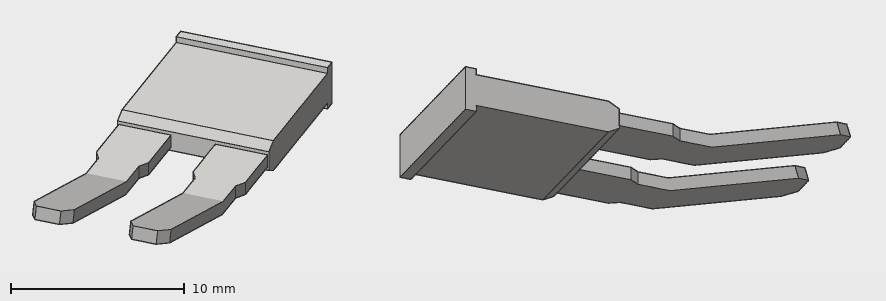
import cadquery as cq
import math

total_length = 24.58
total_height = 4.47

body_width = 9.4
body_length = 9.65
body_height = 2.0
flange_height = 2.75
flange_length = 0.7
nose_height = 1.25
nose_taper_length = 0.7

pin_pitch = 6.0
pin_thickness = 0.8
root_width = 3.25
blade_width = 2.5
tip_width = 1.52
tip_taper_length = 0.88
shoulder_start = 13.05
shoulder_end = 13.65
bend_angle = math.radians(17)
root_embed = 1.23

sin_bend = math.sin(bend_angle)
cos_bend = math.cos(bend_angle)
half_thickness = pin_thickness / 2
tip_top_z = total_height - flange_height / 2
tip_top_y = -total_length + pin_thickness * sin_bend
tip_bottom_z = tip_top_z - pin_thickness * cos_bend
bend_bottom_y = -total_length + (tip_bottom_z + half_thickness) / math.tan(bend_angle)
bend_top_y = bend_bottom_y + pin_thickness * math.tan(bend_angle / 2)


def extrude_across(profile, width):
    """Extrude a closed (Y, Z) profile, centred on X = 0."""
    return cq.Workplane("YZ").polyline(profile).close().extrude(width / 2, both=True)


def make_body():
    """Flanged block whose front end tapers to a flat nose."""
    upper_profile = [
        (0, flange_height / 2),
        (-flange_length, flange_height / 2),
        (-flange_length, body_height / 2),
        (-body_length + nose_taper_length, body_height / 2),
        (-body_length, nose_height / 2),
    ]
    lower_profile = [(y, -z) for y, z in reversed(upper_profile)]
    return extrude_across(upper_profile + lower_profile, body_width)


def make_bent_strip():
    """Full-width strip with a mitred upward bend."""
    root_y = -body_length + root_embed
    profile = [
        (root_y, half_thickness),
        (bend_top_y, half_thickness),
        (tip_top_y, tip_top_z),
        (-total_length, tip_bottom_z),
        (bend_bottom_y, -half_thickness),
        (root_y, -half_thickness),
    ]
    return extrude_across(profile, root_width)


def make_shoulder_outline():
    """Vertical prism that narrows the strip from root width to blade width."""
    right_side = [
        (root_width / 2, 0),
        (root_width / 2, -shoulder_start),
        (blade_width / 2, -shoulder_end),
        (blade_width / 2, -total_length),
    ]
    left_side = [(-x, y) for x, y in reversed(right_side)]
    outline = cq.Workplane("XY").polyline(right_side + left_side).close()
    return outline.extrude(total_height, both=True)


def make_tip_corners():
    """Two triangular prisms, square to the inclined blade, that taper its tip."""
    blade_plane = cq.Plane(
        origin=(0, tip_top_y, tip_top_z),
        xDir=(1, 0, 0),
        normal=(0, sin_bend, cos_bend),
    )
    corners = cq.Workplane("XY")
    for side in (-1, 1):
        triangle = [
            (side * tip_width / 2, 0),
            (side * blade_width / 2, 0),
            (side * blade_width / 2, tip_taper_length),
        ]
        prism = cq.Workplane(blade_plane).polyline(triangle).close()
        corners = corners.add(prism.extrude(pin_thickness * 2, both=True))
    return corners.combine()


def make_pin():
    """Stepped, bent contact pin centred on X = 0."""
    return make_bent_strip().intersect(make_shoulder_outline()).cut(make_tip_corners())


result = make_body()
pin = make_pin()
for side in (-1, 1):
    result = result.union(pin.translate((side * pin_pitch / 2, 0, 0)))